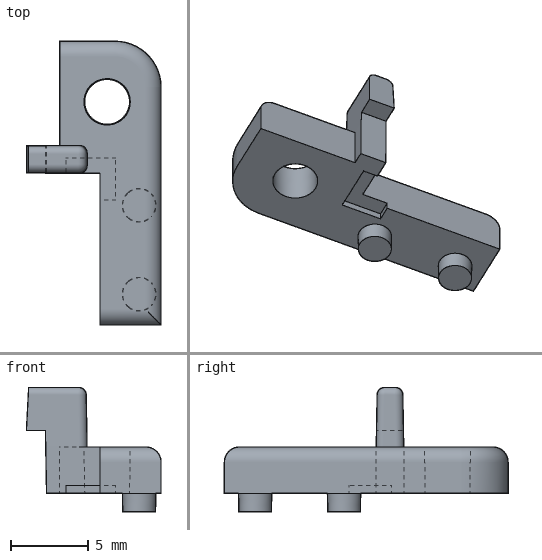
import cadquery as cq
import math

total_length = 18.37
plate_thickness = 3.0
leg_width = 3.97
head_width = 6.57
head_length = 8.55
corner_radius = 3.0
rim_fillet = 1.0
draft_angle = 1.0

hole_diameter = 3.0
hole_from_right = 3.5
hole_from_back = 3.93

arm_height = 3.85
arm_root_width = 1.8
arm_tip_reach = 8.73
arm_root_reach = 7.48
arm_near_reach = 4.785
arm_overhang_height = 1.05
arm_blank_margin = 1.0
arm_tip_draft = 3.0
arm_fillet = 0.5

peg_diameter = 2.18
peg_height = 1.2
peg_from_right = 1.43
peg_from_front = 2.0
peg_spacing = 5.75
peg_count = 2

recess_height = 0.5
recess_head_span = 2.2
recess_leg_span = 1.74
recess_depth = 1.0

right_x = leg_width
back_y = head_length
front_y = head_length - total_length
head_left_x = right_x - head_width
tip_x = right_x - arm_tip_reach
neck_x = right_x - arm_root_reach
arm_right_x = right_x - arm_near_reach
arm_center_y = arm_root_width / 2


def draft_shift(height, angle=draft_angle):
    """Sideways shift of a drafted face over the given height."""
    return height * math.tan(math.radians(angle))


def make_plate():
    """L-shaped plate with a rounded back corner and a filleted outer rim."""
    plate = (
        cq.Workplane("XY")
        .moveTo(0, 0)
        .lineTo(0, front_y)
        .lineTo(right_x, front_y)
        .lineTo(right_x, back_y - corner_radius)
        .radiusArc((right_x - corner_radius, back_y), -corner_radius)
        .lineTo(head_left_x, back_y)
        .lineTo(head_left_x, 0)
        .close()
        .extrude(plate_thickness)
    )
    right_edge = (right_x, (front_y + back_y) / 2, plate_thickness)
    front_edge = (right_x / 2, front_y, plate_thickness)
    return (
        plate.edges(cq.selectors.NearestToPointSelector(right_edge))
        .add(plate.edges(cq.selectors.NearestToPointSelector(front_edge)))
        .fillet(rim_fillet)
    )


def make_tab():
    """Full-height tab that carries the arm, its left face in line with the arm's neck."""
    return (
        cq.Workplane("XZ")
        .moveTo(neck_x + draft_shift(plate_thickness), 0)
        .lineTo(0, 0)
        .lineTo(0, plate_thickness)
        .lineTo(neck_x, plate_thickness)
        .close()
        .extrude(-arm_root_width)
    )


def make_arm():
    """Drafted upright arm with an overhanging left end and rounded top."""
    blank_left_x = tip_x - arm_blank_margin
    arm = (
        cq.Workplane("XY", origin=(0, arm_center_y, plate_thickness))
        .center((blank_left_x + arm_right_x) / 2, 0)
        .rect(arm_right_x - blank_left_x, arm_root_width)
        .extrude(arm_height, taper=draft_angle)
    )
    overhang_z = plate_thickness + arm_overhang_height
    top_z = plate_thickness + arm_height
    tip_top_x = tip_x + draft_shift(arm_height - arm_overhang_height, arm_tip_draft)
    side_profile = (
        cq.Workplane("XZ")
        .moveTo(neck_x, plate_thickness)
        .lineTo(neck_x - draft_shift(arm_overhang_height), overhang_z)
        .lineTo(tip_x, overhang_z)
        .lineTo(tip_top_x, top_z)
        .lineTo(arm_right_x, top_z)
        .lineTo(arm_right_x, plate_thickness)
        .close()
        .extrude(arm_root_width, both=True)
    )
    arm = arm.intersect(side_profile)
    upright_edges = arm.faces(">X").edges("not #Z")
    top_edges = arm.faces(">Z").edges("|X or >X")
    return upright_edges.add(top_edges).fillet(arm_fillet)


def make_hole():
    """Through hole narrowing slightly towards the underside."""
    return (
        cq.Workplane("XY", origin=(0, 0, plate_thickness))
        .center(right_x - hole_from_right, back_y - hole_from_back)
        .circle(hole_diameter / 2)
        .extrude(-plate_thickness, taper=draft_angle)
    )


def make_recess():
    """Shallow recess in the underside, open at the inner corner."""
    return cq.Workplane("XY").box(
        recess_head_span + recess_depth,
        recess_leg_span + recess_depth,
        recess_height,
        centered=False,
    ).translate((-recess_head_span, -recess_leg_span, 0))


def make_peg(index):
    """Slightly tapered locating peg below the leg."""
    return (
        cq.Workplane("XY")
        .center(right_x - peg_from_right, front_y + peg_from_front + index * peg_spacing)
        .circle(peg_diameter / 2)
        .extrude(-peg_height, taper=draft_angle)
    )


result = make_plate().union(make_tab()).union(make_arm())
result = result.cut(make_hole()).cut(make_recess())
for peg_index in range(peg_count):
    result = result.union(make_peg(peg_index))